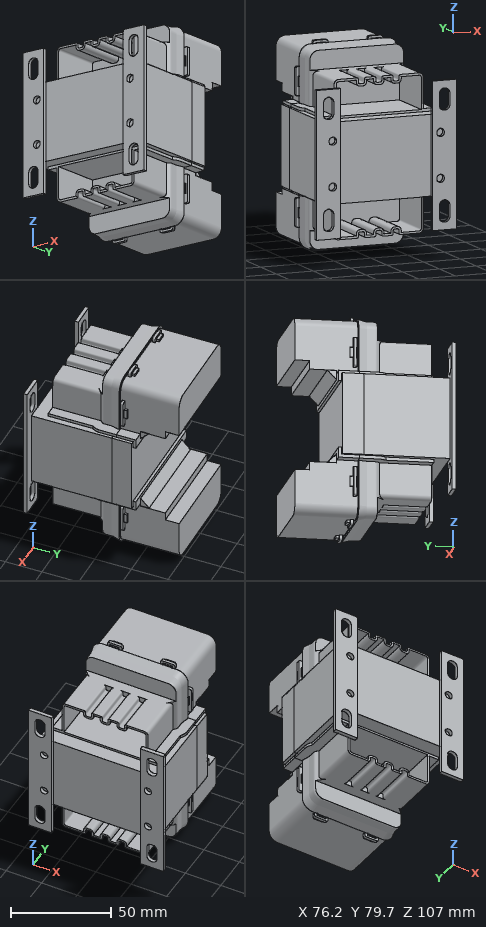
import cadquery as cq
import math


HEIGHT = 107.0
DEPTH = 79.7
WIDTH = 76.2
FRONT_Y = -DEPTH / 2
BACK_Y = DEPTH / 2

RAIL_WIDTH = 13.1
RAIL_THICKNESS = 2.1
RAIL_LENGTH = 76.2
RAIL_SLOT_WIDTH = 5.7
RAIL_SLOT_LENGTH = 11.2
RAIL_SLOT_SPACING = 56.9
RAIL_HOLE_DIAMETER = 4.1
RAIL_HOLE_SPACING = 23.3
RAIL_HOLE_X = 29.3

CORE_WIDTH = 65.9
CORE_HEIGHT = 41.7
CORE_DEPTH = 54.8
CORE_BACK_DEPTH = 10.9
CORE_FRONT_Y = FRONT_Y + RAIL_THICKNESS
CORE_BACK_Y = CORE_FRONT_Y + CORE_DEPTH
CORE_SPLIT_Y = CORE_BACK_Y - CORE_BACK_DEPTH
CORE_TOP = CORE_HEIGHT / 2

FLANGE_THICKNESS = 1.6
FLANGE_HALF_WIDTH = 31.4
FLANGE_TOP = CORE_TOP + FLANGE_THICKNESS
JOINT_Y = 7.9

HOOD_HALF_WIDTH = 25.9
HOOD_RADIUS = 5.1
CLIP_BAR_RISE = 2.5
HOOD_TOP = HEIGHT / 2 - CLIP_BAR_RISE

BOBBIN_FRONT_Y = -30.0
FLANGE_FRONT_HALF_WIDTH = 29.7
FLANGE_WAIST_RADIUS = 7.3
FLANGE_WAIST_Y = -1.1
HOOD_FRONT_Y = -2.2
HOOD_NOSE_LENGTH = 1.3
HOOD_NOSE_RADIUS = 2.1
HOOD_NOSE_START_Y = HOOD_FRONT_Y + HOOD_NOSE_LENGTH
FLARE_OUTSET = 1.2
FLARE_LENGTH = 4.6
RIM_LENGTH = 0.3

TRAY_WALL = 1.2
TRAY_HALF_WIDTH = 24.3
TRAY_TOP = 40.8
TRAY_RADIUS = 2.4
TRAY_FLOOR_RECESS = 0.4
TRAY_FLOOR = FLANGE_TOP - TRAY_FLOOR_RECESS
COLLAR_CHAMFER = 3.1

CHANNEL_COUNT = 3
CHANNEL_PITCH = 9.4
CHANNEL_HALF_WIDTH = 1.6
CHANNEL_DEPTH = 3.1
CHANNEL_BOTTOM_RADIUS = 0.9
CHANNEL_LIP_RADIUS = 1.0
CHANNEL_BACK_Y = -7.9

COVER_STEP_Y = 32.3
COVER_BACK_BOTTOM = 28.2
COVER_MIDDLE_BOTTOM = 23.9
COVER_FLANGE_BACK_Y = 18.6
COVER_LIP_BOTTOM = 17.2
GUSSET_SIZE = 4.7
GUSSET_HALF_WIDTH = 25.6

CLIP_STEM_WIDTH = 5.1
CLIP_STEM_DEPTH = 4.1
CLIP_STEM_RISE = 1.3
CLIP_BAR_THICKNESS = 1.6
CLIP_BAR_FRONT_GAP = 0.9
CLIP_BAR_RADIUS = 1.0
TOP_CLIP_LENGTH = 8.0
TOP_CLIP_X = 15.0
SIDE_CLIP_LENGTH = 15.0
SIDE_CLIP_Z = 33.4


def block(half_width, y_range, z_range):
    """Box centred on X between two Y and two Z levels."""
    y_start, y_end = y_range
    z_start, z_end = z_range
    return cq.Workplane("XY", origin=(0, (y_start + y_end) / 2, z_start)).box(
        2 * half_width, y_end - y_start, z_end - z_start, centered=(True, True, False)
    )


def at_end(upper, end):
    """The upper-end shape itself for end = 1, its mirror image for end = -1."""
    return upper if end > 0 else upper.mirror("XY")


def make_rail(side):
    rail_x = side * (WIDTH - RAIL_WIDTH) / 2
    rail = (
        cq.Workplane("XZ", origin=(rail_x, CORE_FRONT_Y, 0))
        .rect(RAIL_WIDTH, RAIL_LENGTH)
        .extrude(RAIL_THICKNESS)
    )
    slots = (
        cq.Workplane("XZ", origin=(rail_x, CORE_FRONT_Y, 0))
        .rarray(1.1, RAIL_SLOT_SPACING, 1, 2)
        .slot2D(RAIL_SLOT_LENGTH, RAIL_SLOT_WIDTH, 90)
        .extrude(RAIL_THICKNESS)
    )
    holes = (
        cq.Workplane("XZ", origin=(side * RAIL_HOLE_X, CORE_FRONT_Y, 0))
        .rarray(1.1, RAIL_HOLE_SPACING, 1, 2)
        .circle(RAIL_HOLE_DIAMETER / 2)
        .extrude(RAIL_THICKNESS)
    )
    return rail.cut(slots).cut(holes)


def hood_section(y, outset=0.0):
    """Hood outline at depth y: flat bottom at Z = 0, rounded upper corners."""
    half_width = HOOD_HALF_WIDTH + outset
    top = HOOD_TOP + outset
    radius = HOOD_RADIUS + outset
    return (
        cq.Workplane("XZ", origin=(0, y, 0))
        .moveTo(-half_width, 0)
        .lineTo(-half_width, top - radius)
        .radiusArc((-half_width + radius, top), radius)
        .lineTo(half_width - radius, top)
        .radiusArc((half_width, top - radius), radius)
        .lineTo(half_width, 0)
        .close()
    )


def make_bobbin_hood():
    """Hood with a flared mouth at the back and a rounded nose, cut flat, at the front."""
    flare_back_y = JOINT_Y - RIM_LENGTH
    flare_angle = math.degrees(math.atan2(FLARE_OUTSET, FLARE_LENGTH))
    hood = hood_section(JOINT_Y).extrude(JOINT_Y - HOOD_NOSE_START_Y + HOOD_NOSE_RADIUS)
    hood = hood.faces("<Y").edges().fillet(HOOD_NOSE_RADIUS)
    flare = hood_section(flare_back_y, FLARE_OUTSET).extrude(FLARE_LENGTH, taper=flare_angle)
    ahead_of_hood = block(WIDTH, (FRONT_Y, HOOD_FRONT_Y), (0, HEIGHT / 2))
    below_flange = block(WIDTH, (FRONT_Y, BACK_Y), (-FLANGE_TOP, FLANGE_TOP))
    return hood.cut(ahead_of_hood).union(flare).cut(below_flange)


def make_bobbin_flange():
    """Plate on the core whose sides curve inward to a narrower front stretch."""
    step = FLANGE_HALF_WIDTH - FLANGE_FRONT_HALF_WIDTH
    waist_length = math.sqrt(FLANGE_WAIST_RADIUS**2 - (FLANGE_WAIST_RADIUS - step) ** 2)
    waist_end_y = FLANGE_WAIST_Y - waist_length
    return (
        cq.Workplane("XY", origin=(0, 0, CORE_TOP))
        .moveTo(FLANGE_HALF_WIDTH, JOINT_Y)
        .lineTo(FLANGE_HALF_WIDTH, FLANGE_WAIST_Y)
        .radiusArc((FLANGE_FRONT_HALF_WIDTH, waist_end_y), FLANGE_WAIST_RADIUS)
        .lineTo(FLANGE_FRONT_HALF_WIDTH, BOBBIN_FRONT_Y)
        .lineTo(-FLANGE_FRONT_HALF_WIDTH, BOBBIN_FRONT_Y)
        .lineTo(-FLANGE_FRONT_HALF_WIDTH, waist_end_y)
        .radiusArc((-FLANGE_HALF_WIDTH, FLANGE_WAIST_Y), FLANGE_WAIST_RADIUS)
        .lineTo(-FLANGE_HALF_WIDTH, JOINT_Y)
        .close()
        .extrude(FLANGE_THICKNESS)
    )


def make_collar():
    """Prism behind the tray whose sides round off into 45 degree chamfers."""
    arc_half_width = HOOD_HALF_WIDTH - HOOD_NOSE_RADIUS * (1 - math.cos(math.pi / 4))
    arc_end_y = HOOD_NOSE_START_Y - HOOD_NOSE_RADIUS * math.sin(math.pi / 4)
    front_half_width = arc_half_width - COLLAR_CHAMFER
    front_y = arc_end_y - COLLAR_CHAMFER
    return (
        cq.Workplane("XY", origin=(0, 0, FLANGE_TOP))
        .moveTo(HOOD_HALF_WIDTH, HOOD_NOSE_START_Y)
        .radiusArc((arc_half_width, arc_end_y), HOOD_NOSE_RADIUS)
        .lineTo(front_half_width, front_y)
        .lineTo(-front_half_width, front_y)
        .lineTo(-arc_half_width, arc_end_y)
        .radiusArc((-HOOD_HALF_WIDTH, HOOD_NOSE_START_Y), HOOD_NOSE_RADIUS)
        .close()
        .extrude(TRAY_TOP - FLANGE_TOP)
    )


def make_channel_trough(x):
    """Trough hanging below the tray roof, before its channel is cut."""
    bottom = TRAY_TOP - CHANNEL_DEPTH - TRAY_WALL
    return (
        block(CHANNEL_HALF_WIDTH + TRAY_WALL, (BOBBIN_FRONT_Y, HOOD_FRONT_Y), (bottom, TRAY_TOP))
        .edges("|Y and <Z")
        .fillet(CHANNEL_BOTTOM_RADIUS + TRAY_WALL)
        .translate((x, 0, 0))
    )


def make_channel_cutter(x):
    """Channel with a rounded bottom and rounded upper lips, open at the front."""
    lip_half_width = CHANNEL_HALF_WIDTH + CHANNEL_LIP_RADIUS
    lip_z = TRAY_TOP - CHANNEL_LIP_RADIUS
    bottom_z = TRAY_TOP - CHANNEL_DEPTH
    flat_half_width = CHANNEL_HALF_WIDTH - CHANNEL_BOTTOM_RADIUS
    curve_z = bottom_z + CHANNEL_BOTTOM_RADIUS
    return (
        cq.Workplane("XZ", origin=(x, CHANNEL_BACK_Y, 0))
        .moveTo(-lip_half_width, TRAY_TOP)
        .radiusArc((-CHANNEL_HALF_WIDTH, lip_z), CHANNEL_LIP_RADIUS)
        .lineTo(-CHANNEL_HALF_WIDTH, curve_z)
        .radiusArc((-flat_half_width, bottom_z), -CHANNEL_BOTTOM_RADIUS)
        .lineTo(flat_half_width, bottom_z)
        .radiusArc((CHANNEL_HALF_WIDTH, curve_z), -CHANNEL_BOTTOM_RADIUS)
        .lineTo(CHANNEL_HALF_WIDTH, lip_z)
        .radiusArc((lip_half_width, TRAY_TOP), CHANNEL_LIP_RADIUS)
        .close()
        .extrude(CHANNEL_BACK_Y - BOBBIN_FRONT_Y)
    )


def make_bobbin(end):
    tray_range = (BOBBIN_FRONT_Y, HOOD_FRONT_Y)
    tray = block(TRAY_HALF_WIDTH, tray_range, (CORE_TOP, TRAY_TOP))
    tray = tray.edges("|Y and >Z").fillet(TRAY_RADIUS)
    cavity = block(TRAY_HALF_WIDTH - TRAY_WALL, tray_range, (TRAY_FLOOR, TRAY_TOP - TRAY_WALL))
    cavity = cavity.edges("|Y and >Z").fillet(TRAY_RADIUS - TRAY_WALL)
    bobbin = make_bobbin_flange().union(tray).union(make_collar())
    bobbin = bobbin.cut(cavity).union(make_bobbin_hood())
    for index in range(CHANNEL_COUNT):
        x = (index - (CHANNEL_COUNT - 1) / 2) * CHANNEL_PITCH
        bobbin = bobbin.union(make_channel_trough(x)).cut(make_channel_cutter(x))
    return at_end(bobbin, end)


def make_clip(bar_length):
    """T-shaped clip standing on Z = 0 with its stem against the joint."""
    stem = block(CLIP_STEM_WIDTH / 2, (JOINT_Y, JOINT_Y + CLIP_STEM_DEPTH), (0, CLIP_STEM_RISE))
    bar_front_y = JOINT_Y + CLIP_BAR_FRONT_GAP
    bar = block(bar_length / 2, (bar_front_y, bar_front_y + CLIP_BAR_THICKNESS), (0, CLIP_BAR_RISE))
    bar = bar.edges("|Y and >Z").fillet(CLIP_BAR_RADIUS)
    return stem.union(bar)


def make_cover(end):
    cover = hood_section(BACK_Y).extrude(BACK_Y - JOINT_Y)
    cover = cover.cut(block(WIDTH, (JOINT_Y, BACK_Y), (0, FLANGE_TOP)))
    cover = cover.cut(block(WIDTH, (COVER_FLANGE_BACK_Y, BACK_Y), (0, COVER_MIDDLE_BOTTOM)))
    cover = cover.cut(block(WIDTH, (COVER_STEP_Y, BACK_Y), (0, COVER_BACK_BOTTOM)))

    flange_range = (JOINT_Y, COVER_FLANGE_BACK_Y)
    cover = cover.union(block(FLANGE_HALF_WIDTH, flange_range, (CORE_TOP, FLANGE_TOP)))
    lip_range = (CORE_BACK_Y, COVER_FLANGE_BACK_Y)
    cover = cover.union(block(FLANGE_HALF_WIDTH, lip_range, (COVER_LIP_BOTTOM, FLANGE_TOP)))

    gusset = (
        cq.Workplane("YZ", origin=(-GUSSET_HALF_WIDTH, 0, 0))
        .moveTo(COVER_FLANGE_BACK_Y, COVER_MIDDLE_BOTTOM)
        .lineTo(COVER_FLANGE_BACK_Y + GUSSET_SIZE, COVER_MIDDLE_BOTTOM)
        .lineTo(COVER_FLANGE_BACK_Y, COVER_MIDDLE_BOTTOM - GUSSET_SIZE)
        .close()
        .extrude(2 * GUSSET_HALF_WIDTH)
    )
    cover = cover.union(gusset)

    for side in (-1, 1):
        top_clip = make_clip(TOP_CLIP_LENGTH).translate((side * TOP_CLIP_X, 0, HOOD_TOP))
        side_clip = (
            make_clip(SIDE_CLIP_LENGTH)
            .rotate((0, 0, 0), (0, 1, 0), side * 90)
            .translate((side * HOOD_HALF_WIDTH, 0, SIDE_CLIP_Z))
        )
        cover = cover.union(top_clip).union(side_clip)
    return at_end(cover, end)


core_front = block(CORE_WIDTH / 2, (CORE_FRONT_Y, CORE_SPLIT_Y), (-CORE_TOP, CORE_TOP))
core_back = block(CORE_WIDTH / 2, (CORE_SPLIT_Y, CORE_BACK_Y), (-CORE_TOP, CORE_TOP))

rails = [make_rail(side).val() for side in (-1, 1)]
bobbins = [make_bobbin(end).val() for end in (-1, 1)]
covers = [make_cover(end).val() for end in (-1, 1)]

result = cq.Compound.makeCompound([core_front.val(), core_back.val(), *rails, *bobbins, *covers])